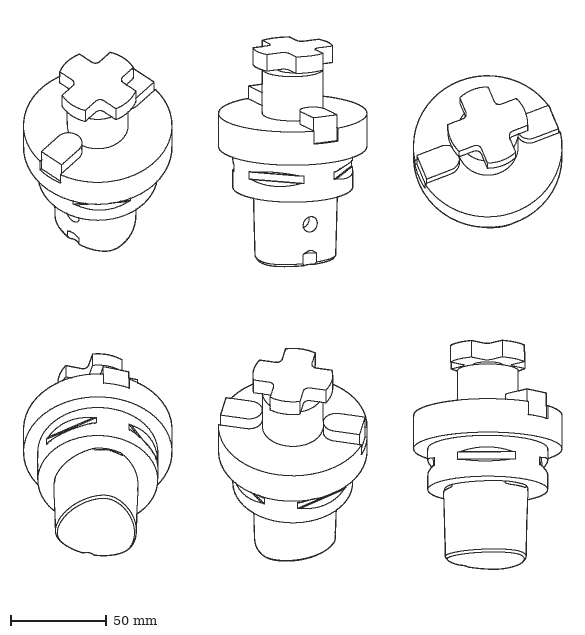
import cadquery as cq
import math


collar_diameter = 63
collar_height = 22
flange_diameter = 78
flange_height = 18
arbor_diameter = 32
arbor_height = 24
neck_diameter = 16
neck_height = 3
head_diameter = 42
head_height = 9
head_arm_width = 16
head_corner_radius = 3

flange_top = collar_height + flange_height
arbor_top = flange_top + arbor_height
neck_top = arbor_top + neck_height

key_width = 14
key_rise = 7
key_slot_depth = 7
key_inner_end = 16.5
key_outer_end = 37.3

groove_center_height = 12
groove_floor_height = 4
groove_floor_distance = 27.6
groove_wall_depth = 0.8
groove_flank_angle = 30

shank_length = 38
shank_straight_length = 2.8
shank_diameter = 44.2
lobe_count = 3
shank_lobe_rise = 1.4
shank_taper = 1 / 20
end_chamfer_height = 1.4
end_chamfer_inset = 1
profile_point_count = 72

relief_ring_radius = 23.4
relief_ring_depth = 0.7
relief_groove_radius = 1

side_hole_diameter = 8.3
side_hole_tip_angle = 118
side_hole_height = -15.5
side_hole_depth = 10
side_hole_start = 25
notch_diameter = 10
notch_tip_angle = 100
notch_depth = 6.3
notch_center_distance = 22.7


def disc(diameter, height, base):
    """Upright cylinder on the tool axis."""
    return cq.Workplane("XY").workplane(offset=base).circle(diameter / 2).extrude(height)


def lobe_point(mean_radius, angle):
    """Point of a constant-width three-lobed curve whose normal has this angle; one lobe points to +Y."""
    lobe_phase = lobe_count * (angle - math.pi / 2)
    reach = mean_radius + shank_lobe_rise * math.cos(lobe_phase)
    slide = -lobe_count * shank_lobe_rise * math.sin(lobe_phase)
    x = reach * math.cos(angle) - slide * math.sin(angle)
    y = reach * math.sin(angle) + slide * math.cos(angle)
    return (x, y)


def lobe_wire(mean_radius, height):
    """Closed three-lobed outline at the given height, with its seam on the -Y side."""
    angles = [2 * math.pi * i / profile_point_count - math.pi / 2 for i in range(profile_point_count)]
    points = [cq.Vector(*lobe_point(mean_radius, angle), height) for angle in angles]
    return cq.Wire.assembleEdges([cq.Edge.makeSpline(points, periodic=True)])


def shank_section(top_radius, top_height, bottom_radius, bottom_height):
    """Ruled solid between two three-lobed outlines."""
    wires = [lobe_wire(bottom_radius, bottom_height), lobe_wire(top_radius, top_height)]
    return cq.Workplane(obj=cq.Solid.makeLoft(wires, True))


def make_shank():
    """Straight root, long taper and chamfered end."""
    root_radius = shank_diameter / 2
    taper_top = -shank_straight_length
    taper_bottom = -shank_length + end_chamfer_height
    taper_end_radius = root_radius - (taper_top - taper_bottom) * shank_taper / 2
    tip_radius = taper_end_radius - end_chamfer_inset
    root = shank_section(root_radius, 0, root_radius, taper_top)
    taper = shank_section(root_radius, taper_top, taper_end_radius, taper_bottom)
    tip = shank_section(taper_end_radius, taper_bottom, tip_radius, -shank_length)
    return root.union(taper).union(tip)


def lobe_relief():
    """Round-bottomed ring groove that trims the three lobes next to the collar."""
    return (
        cq.Workplane("XZ")
        .center(relief_ring_radius, -relief_ring_depth)
        .circle(relief_groove_radius)
        .revolve(360, (-relief_ring_radius, 0, 0), (-relief_ring_radius, 1, 0))
    )


def drill(diameter, tip_angle, length):
    """Drill-shaped tool along +Z: a cylinder of this length and a conical tip beyond it."""
    radius = diameter / 2
    tip_length = radius / math.tan(math.radians(tip_angle / 2))
    return (
        cq.Workplane("XZ")
        .polyline([(0, 0), (radius, 0), (radius, length), (0, length + tip_length)])
        .close()
        .revolve(360, (0, 0, 0), (0, 1, 0))
    )


def side_hole():
    """Blind hole into the -Y side of the shank."""
    surface_distance = shank_diameter / 2 - shank_lobe_rise
    length = side_hole_start - surface_distance + side_hole_depth
    tool = drill(side_hole_diameter, side_hole_tip_angle, length).rotate((0, 0, 0), (1, 0, 0), -90)
    return tool.translate((0, -side_hole_start, side_hole_height))


def end_notch():
    """Notch drilled upward into the shank end at its -Y edge."""
    tool = drill(notch_diameter, notch_tip_angle, notch_depth)
    return tool.translate((0, -notch_center_distance, -shank_length))


def gripper_groove(angle):
    """Straight groove across the collar at the given angle about Z, with upright walls and flared flanks."""
    outer = flange_diameter / 2
    half_floor = groove_floor_height / 2
    flank_start = groove_floor_distance + groove_wall_depth
    flank_rise = (outer - flank_start) * math.tan(math.radians(groove_flank_angle))
    half_mouth = half_floor + flank_rise
    return (
        cq.Workplane("XZ")
        .polyline([
            (groove_floor_distance, -half_floor),
            (flank_start, -half_floor),
            (outer, -half_mouth),
            (outer, half_mouth),
            (flank_start, half_floor),
            (groove_floor_distance, half_floor),
        ])
        .close()
        .extrude(collar_diameter / 2, both=True)
        .translate((0, 0, groove_center_height))
        .rotate((0, 0, 0), (0, 0, 1), angle)
    )


def key_shape(outer_end, bottom, height):
    """Upright block on the -Y side with a round inner end."""
    radius = key_width / 2
    arc_center = key_inner_end + radius
    return (
        cq.Workplane("XY")
        .workplane(offset=bottom)
        .moveTo(-radius, -outer_end)
        .lineTo(-radius, -arc_center)
        .threePointArc((0, -key_inner_end), (radius, -arc_center))
        .lineTo(radius, -outer_end)
        .close()
        .extrude(height)
    )


def make_head():
    """Cross-shaped head of the retaining screw."""
    cross = (
        cq.Workplane("XY")
        .rect(head_diameter, head_arm_width)
        .extrude(head_height)
        .union(cq.Workplane("XY").rect(head_arm_width, head_diameter).extrude(head_height))
    )
    half_arm = head_arm_width / 2
    corner_limit = half_arm + head_corner_radius
    inner_corners = cq.selectors.BoxSelector(
        (-corner_limit, -corner_limit, 0),
        (corner_limit, corner_limit, head_height),
    )
    cross = cross.edges("|Z").edges(inner_corners).fillet(head_corner_radius)
    return cross.translate((0, 0, neck_top)).intersect(disc(head_diameter, head_height, neck_top))


def make_body():
    """Collar, flange, arbor and neck."""
    return (
        disc(collar_diameter, collar_height, 0)
        .union(disc(flange_diameter, flange_height, collar_height))
        .union(disc(arbor_diameter, arbor_height, flange_top))
        .union(disc(neck_diameter, neck_height, arbor_top))
    )


body = make_body()
for groove_angle in (45, 135, 225, 315):
    body = body.cut(gripper_groove(groove_angle))

key_bottom = flange_top - key_slot_depth
for side_angle in (0, 180):
    slot = key_shape(flange_diameter / 2, key_bottom, key_slot_depth)
    key = key_shape(key_outer_end, key_bottom, key_slot_depth + key_rise)
    body = body.cut(slot.rotate((0, 0, 0), (0, 0, 1), side_angle))
    body = body.union(key.rotate((0, 0, 0), (0, 0, 1), side_angle))

shank = make_shank().cut(lobe_relief()).cut(side_hole()).cut(end_notch())

result = body.union(shank).union(make_head())